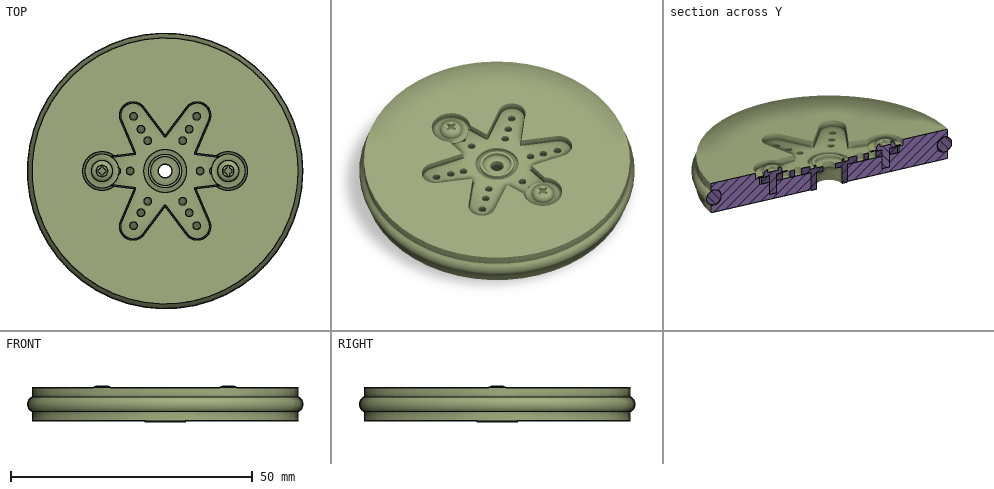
import cadquery as cq
import math

total_height = 7.35

disc_diameter = 55.0
disc_height = 6.9
tyre_diameter = 57.0
tyre_band_width = 3.1

arm_count = 6
horn_depth = 1.3
horn_thickness = 1.5
pocket_clearance = 0.3
pocket_tip_diameter = 5.65
pocket_tip_distance = 13.3
valley_distance = 7.35
arm_hole_diameter = 1.6
screw_distance = 13.05
arm_hole_distances = (7.25, 10.0, screw_distance)
hub_diameter = 8.4
hub_drop = 0.15
rim_groove_outer_diameter = 8.9
rim_groove_inner_diameter = 6.9
rim_groove_depth = 0.7
hub_recess_diameter = 6.0
hub_recess_depth = 0.7
hub_bore_diameter = 2.8
hub_bore_length = 1.2
spline_socket_diameter = 5.8

flange_diameter = 7.0
flange_thickness = 0.3
flange_pocket_diameter = 8.05
head_diameter = 4.4
head_flat_diameter = 2.4
shank_diameter = arm_hole_diameter
shank_depth_in_disc = 2.85
drive_slot_width = 0.5
drive_square_side = 1.35
drive_depth = 0.75

horn_top = disc_height - horn_depth
horn_bottom = horn_top - horn_thickness
hub_bottom = -hub_drop
screw_top = total_height - hub_drop
flange_top = horn_top + flange_thickness
shank_bottom = horn_bottom - shank_depth_in_disc
tyre_level = disc_height / 2

tyre_bulge = (tyre_diameter - disc_diameter) / 2
tyre_section_radius = ((tyre_band_width / 2) ** 2 + tyre_bulge**2) / (2 * tyre_bulge)
tyre_ring_radius = tyre_diameter / 2 - tyre_section_radius

arm_angles = [360 / arm_count * i for i in range(arm_count)]
screw_places = [(-screw_distance, 0), (screw_distance, 0)]


def cylinder(diameter, bottom, top, places=((0, 0),)):
    """Upright cylinders between two levels, one at each place."""
    plane = cq.Workplane("XY").workplane(offset=bottom)
    return plane.pushPoints(places).circle(diameter / 2).extrude(top - bottom)


def polar(radius, angle):
    """Point at a radius and an angle in degrees around the wheel axis."""
    return (radius * math.cos(math.radians(angle)), radius * math.sin(math.radians(angle)))


def pocket_outline(level):
    """Star of tapered arms: each side runs from a valley corner tangent to the round arm tip."""
    tip_radius = pocket_tip_diameter / 2
    half_pitch = 180 / arm_count
    valley_x, valley_y = polar(valley_distance, half_pitch)
    run = pocket_tip_distance - valley_x
    reach = math.hypot(run, valley_y)
    touch = 180 - math.degrees(math.atan2(valley_y, run)) - math.degrees(math.acos(tip_radius / reach))

    def tip_point(arm_angle, turn):
        centre_x, centre_y = polar(pocket_tip_distance, arm_angle)
        offset_x, offset_y = polar(tip_radius, arm_angle + turn)
        return (centre_x + offset_x, centre_y + offset_y)

    outline = cq.Workplane("XY").workplane(offset=level).moveTo(*polar(valley_distance, -half_pitch))
    for angle in arm_angles:
        outline = outline.lineTo(*tip_point(angle, -touch))
        outline = outline.threePointArc(tip_point(angle, 0), tip_point(angle, touch))
        if angle != arm_angles[-1]:
            outline = outline.lineTo(*polar(valley_distance, angle + half_pitch))
    return outline.close()


def make_tyre():
    section = cq.Workplane("XZ").center(tyre_ring_radius, tyre_level).circle(tyre_section_radius)
    return section.revolve(360, (-tyre_ring_radius, 0, 0), (-tyre_ring_radius, 1, 0))


def make_disc():
    disc = cylinder(disc_diameter, 0, disc_height).cut(make_tyre())
    disc = disc.cut(pocket_outline(horn_bottom).extrude(disc_height - horn_bottom))
    disc = disc.cut(cylinder(flange_pocket_diameter, horn_top, disc_height, screw_places))
    disc = disc.cut(cylinder(hub_diameter, 0, disc_height))
    return disc.cut(cylinder(shank_diameter, shank_bottom, horn_top, screw_places))


def make_horn():
    horn = pocket_outline(horn_bottom).offset2D(-pocket_clearance).extrude(horn_thickness)
    horn = horn.union(cylinder(hub_diameter, hub_bottom, horn_top))
    hole_places = [polar(distance, angle) for angle in arm_angles for distance in arm_hole_distances]
    horn = horn.cut(cylinder(arm_hole_diameter, horn_bottom, horn_top, hole_places))

    groove_bottom = horn_top - rim_groove_depth
    groove = cylinder(rim_groove_outer_diameter, groove_bottom, horn_top)
    groove = groove.cut(cylinder(rim_groove_inner_diameter, groove_bottom, horn_top))
    horn = horn.cut(groove)

    recess_bottom = horn_top - hub_recess_depth
    bore_bottom = recess_bottom - hub_bore_length
    horn = horn.cut(cylinder(hub_recess_diameter, recess_bottom, horn_top))
    horn = horn.cut(cylinder(hub_bore_diameter, bore_bottom, recess_bottom))
    return horn.cut(cylinder(spline_socket_diameter, hub_bottom, bore_bottom))


def cross_recess():
    """Cross of two slots with a square turned by 45 degrees where they meet."""
    plane = cq.Workplane("XY").workplane(offset=screw_top - drive_depth)
    slot = plane.rect(head_flat_diameter, drive_slot_width).extrude(drive_depth)
    cross_slot = plane.rect(drive_slot_width, head_flat_diameter).extrude(drive_depth)
    square = plane.transformed(rotate=(0, 0, 45)).rect(drive_square_side, drive_square_side)
    cross = slot.union(cross_slot).union(square.extrude(drive_depth))
    return cross.intersect(cylinder(head_flat_diameter, screw_top - drive_depth, screw_top))


def make_screw(place):
    head_radius = head_diameter / 2
    flat_radius = head_flat_diameter / 2
    dome_width = head_radius - flat_radius
    dome_rise = screw_top - flange_top
    dome = (
        cq.Workplane("XZ")
        .moveTo(0, flange_top)
        .lineTo(head_radius, flange_top)
        .threePointArc(
            (flat_radius + dome_width * math.sqrt(0.5), flange_top + dome_rise * math.sqrt(0.5)),
            (flat_radius, screw_top),
        )
        .lineTo(0, screw_top)
        .close()
        .revolve(360, (0, 0, 0), (0, 1, 0))
    )
    screw = cylinder(flange_diameter, horn_top, flange_top).union(dome)
    screw = screw.union(cylinder(shank_diameter, shank_bottom, horn_top))
    return screw.cut(cross_recess()).translate((*place, 0))


disc = make_disc()
tyre = make_tyre()
horn = make_horn()
screws = [make_screw(place) for place in screw_places]

result = cq.Compound.makeCompound(
    [disc.val(), tyre.val(), horn.val(), *[screw.val() for screw in screws]]
)